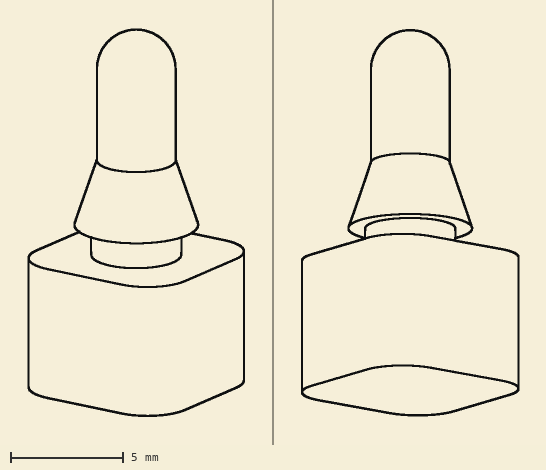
import cadquery as cq

total_height = 16.4

base_width = 8.0
base_height = 6.0
corner_radius = base_width / 4

neck_radius = base_width / 4
neck_height = 1.4
barb_radius = 2.75
barb_height = 3.0
pin_radius = 1.75

barb_bottom = base_height + neck_height
barb_top = barb_bottom + barb_height
dome_bottom = total_height - pin_radius


def make_base():
    """Square block, centred on Z, with its bottom face at Z = 0."""
    block = cq.Workplane("XY").rect(base_width, base_width).extrude(base_height)
    return block.edges("|Z").fillet(corner_radius)


def make_pin():
    """Neck, conical barb, shank and hemispherical tip, revolved about Z."""
    dome_middle = (
        cq.Vector(0, dome_bottom) + cq.Vector(1, 1).normalized() * pin_radius
    )
    return (
        cq.Workplane("XZ")
        .moveTo(0, base_height)
        .lineTo(neck_radius, base_height)
        .lineTo(neck_radius, barb_bottom)
        .lineTo(barb_radius, barb_bottom)
        .lineTo(pin_radius, barb_top)
        .lineTo(pin_radius, dome_bottom)
        .threePointArc((dome_middle.x, dome_middle.y), (0, total_height))
        .close()
        .revolve(360, (0, 0, 0), (0, 1, 0))
    )


result = make_base().union(make_pin())